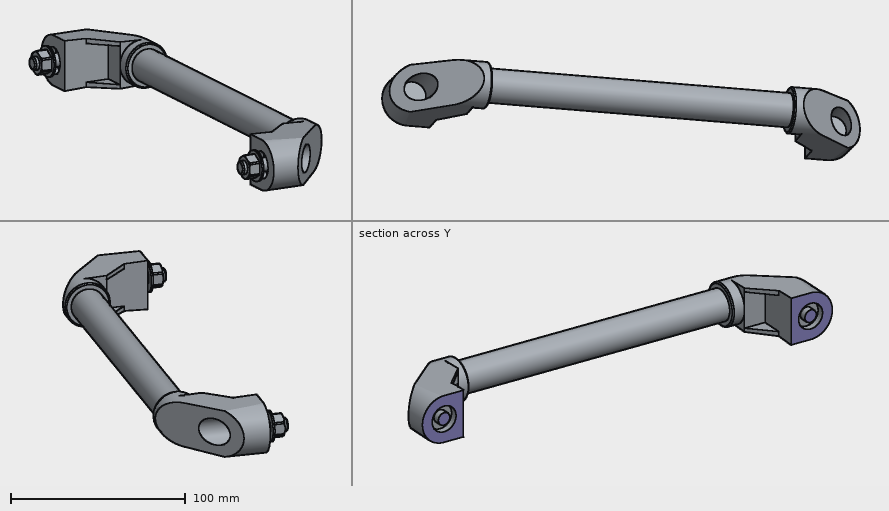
import cadquery as cq
import math

length = 280.0
leg_width = 30.0
collar_dia = 27.0
tube_dia = 20.0

mount_y = -42.0
leg_depth = 28.3
collar_length = 7.8
collar_chamfer = 0.8
elbow_low_y = -28.0
elbow_length = 42.3
slope_low_y = -26.3
slope_angle = 41.5
pocket_width = 23.0

access_dia = 16.0
seat_thickness = 5.5
recess_depth = 5.5
stud_dia = 8.0
stud_length = 14.0
stud_chamfer = 0.8
washer_dia = 18.2
washer_gap = 3.5
washer_thickness = 1.0
nut_across_flats = 13.0
nut_corner_dia = 14.3
nut_height = 6.7
nut_chamfer = 0.5

outer_x = -length / 2
leg_radius = leg_width / 2
collar_radius = collar_dia / 2
leg_axis_x = outer_x + leg_radius
leg_inner_x = outer_x + leg_depth
elbow_x = outer_x + elbow_length
collar_end_x = elbow_x + collar_length
slope = math.tan(math.radians(slope_angle))
pocket_floor_y = -collar_radius


def slope_x(y):
    """X of the sloping outer face at height y."""
    return outer_x + (y - slope_low_y) / slope


def cylinder_y(dia, start_y, height):
    """Cylinder on the leg axis, running from start_y toward -Y."""
    plane = cq.Workplane("XZ", origin=(leg_axis_x, start_y, 0))
    return plane.circle(dia / 2).extrude(height)


def cylinder_x(dia, start_x, end_x):
    """Cylinder on the tube axis."""
    return cq.Workplane("YZ", origin=(start_x, 0, 0)).circle(dia / 2).extrude(end_x - start_x)


def make_elbow():
    """Leg and diagonal: side outline, tapered in Z toward the collar, with a round leg."""
    side = (
        cq.Workplane("XY")
        .polyline([
            (outer_x, mount_y),
            (outer_x, slope_low_y),
            (slope_x(0), 0),
            (elbow_x, 0),
            (elbow_x, pocket_floor_y),
            (leg_inner_x, elbow_low_y),
            (leg_inner_x, mount_y),
        ])
        .close()
        .extrude(leg_radius, both=True)
    )
    taper = (
        cq.Workplane("YZ", origin=(outer_x, 0, 0))
        .polyline([
            (mount_y, -leg_radius),
            (0, -collar_radius),
            (0, collar_radius),
            (mount_y, leg_radius),
        ])
        .close()
        .extrude(elbow_length)
    )
    behind_axis = (
        cq.Workplane("XY", origin=(leg_axis_x, mount_y, 0))
        .box(elbow_x - leg_axis_x, -mount_y, leg_width, centered=(False, False, True))
    )
    round_leg = cylinder_y(leg_width, 0, -mount_y).union(behind_axis)
    return side.intersect(taper).intersect(round_leg)


def make_collar():
    """Round collar cut off obliquely by the sloping outer face."""
    collar = cylinder_x(collar_dia, outer_x, collar_end_x).faces(">X").chamfer(collar_chamfer)
    below_slope = (
        cq.Workplane("XY")
        .polyline([
            (slope_x(-collar_radius), -collar_radius),
            (slope_x(collar_radius), collar_radius),
            (collar_end_x, collar_radius),
            (collar_end_x, -collar_radius),
        ])
        .close()
        .extrude(collar_radius, both=True)
    )
    return collar.intersect(below_slope)


def make_pocket():
    """Triangular recess in the inner corner of the elbow, between two side walls."""
    return (
        cq.Workplane("XY")
        .polyline([
            (leg_inner_x, elbow_low_y),
            (leg_inner_x, pocket_floor_y),
            (elbow_x, pocket_floor_y),
        ])
        .close()
        .extrude(pocket_width / 2, both=True)
    )


def make_fastener():
    """Stud with washer and nut, standing out of the mounting face from the recess floor."""
    stud = cylinder_y(stud_dia, mount_y + recess_depth, recess_depth + stud_length)
    stud = stud.faces("<Y").chamfer(stud_chamfer)
    washer_y = mount_y - washer_gap
    washer = cylinder_y(washer_dia, washer_y, washer_thickness)
    nut_y = washer_y - washer_thickness
    hexagon = (
        cq.Workplane("XZ", origin=(leg_axis_x, nut_y, 0))
        .polygon(6, nut_across_flats, circumscribed=True)
        .extrude(nut_height)
    )
    nut_round = cylinder_y(nut_corner_dia, nut_y, nut_height).faces("<Y").chamfer(nut_chamfer)
    return stud.union(washer).union(hexagon.intersect(nut_round))


def make_bores():
    """Bolt access from the sloping face and a recess in the mounting face, on one axis."""
    seat_y = mount_y + recess_depth + seat_thickness
    access = cylinder_y(access_dia, collar_radius, collar_radius - seat_y)
    recess = cylinder_y(access_dia, mount_y + recess_depth, recess_depth)
    return access.union(recess)


def make_arm():
    """One complete arm at the -X end of the handle."""
    elbow = make_elbow().union(make_collar()).cut(make_pocket())
    return elbow.cut(make_bores()).union(make_fastener())


arm = make_arm()
tube = cylinder_x(tube_dia, elbow_x, -elbow_x)
result = arm.union(tube).union(arm.mirror("YZ"))